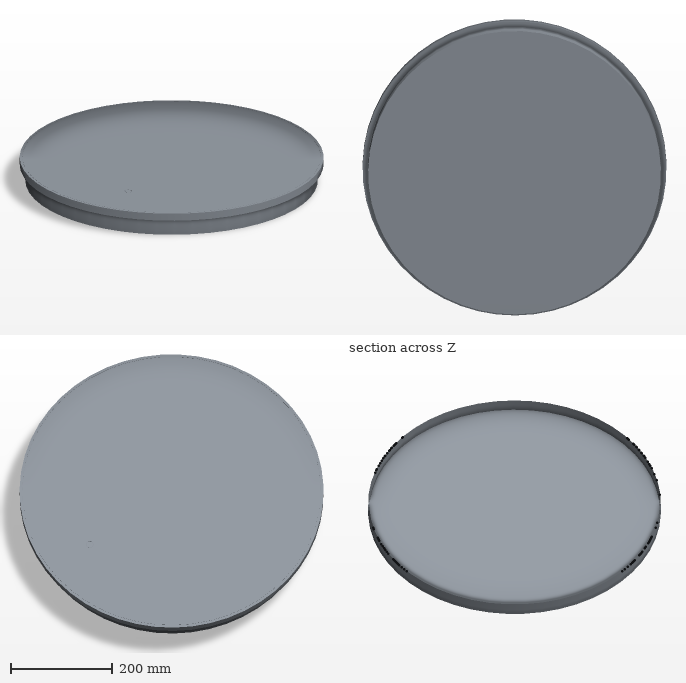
import cadquery as cq

glass_diameter = 600.0
total_height = 49.0
glass_thickness = 4.0
plate_thickness = 11.0
pan_diameter = 578.0
pan_wall = 2.0
pan_floor = 1.0

groove_depth = 0.5
border_outer_diameter = 590.0
border_groove_width = 0.5
button_outer_diameter = 15.0
button_groove_width = 1.0
button_y = -200.0

glass_bottom = total_height - glass_thickness
plate_bottom = glass_bottom - plate_thickness
groove_bottom = total_height - groove_depth


def disc(diameter, bottom, top):
    """Upright disc centred on the Z axis between two heights."""
    return cq.Workplane("XY").workplane(offset=bottom).circle(diameter / 2).extrude(top - bottom)


def groove_ring(outer_diameter, width):
    """Ring of material that an etched groove removes from the glass face."""
    outer = disc(outer_diameter, groove_bottom, total_height)
    inner = disc(outer_diameter - 2 * width, groove_bottom, total_height)
    return outer.cut(inner)


def make_pan():
    """Shallow thin-walled back pan, open towards the carrier plate."""
    cavity = disc(pan_diameter - 2 * pan_wall, pan_floor, plate_bottom)
    return disc(pan_diameter, 0, plate_bottom).cut(cavity)


def make_plate():
    """Carrier plate that closes the pan and backs the glass."""
    return disc(glass_diameter, plate_bottom, glass_bottom)


def make_glass():
    """Mirror glass with an etched border line and an etched touch-button circle."""
    border = groove_ring(border_outer_diameter, border_groove_width)
    button = groove_ring(button_outer_diameter, button_groove_width).translate((0, button_y, 0))
    return disc(glass_diameter, glass_bottom, total_height).cut(border).cut(button)


pan = make_pan()
plate = make_plate()
glass = make_glass()

result = cq.Compound.makeCompound([pan.val(), plate.val(), glass.val()])